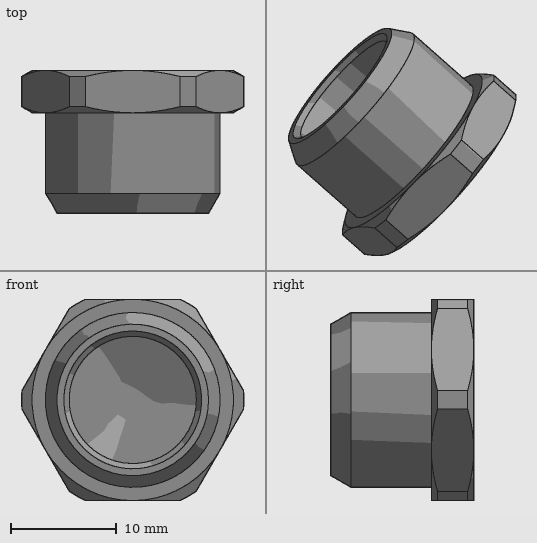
import cadquery as cq
import math

ACROSS_FLATS = 19.0
HEAD_DIAMETER = 21.0
HEAD_THICKNESS = 4.0
HEAD_BEVEL_ANGLE = 30.0

SHANK_DIAMETER = 16.5
SHANK_LENGTH = 9.5
TIP_CHAMFER_RADIAL = 1.1
TIP_CHAMFER_ANGLE = 30.0

BORE_DIAMETER = 12.0
BORE_DEPTH = 9.5
MOUTH_CHAMFER = 0.5
BORE_END_ANGLE = 150.0

HEX_SIDES = 6


def revolve_about_y(profile_points):
    """Turn a closed (radius, y) profile about the Y axis."""
    return cq.Workplane("XY").polyline(profile_points).close().revolve(360, (0, 0, 0), (0, 1, 0))


def make_head():
    """Hexagon with flats facing +Z and -Z, its corners rounded and bevelled by turning."""
    across_corners = ACROSS_FLATS / math.cos(math.pi / HEX_SIDES)
    hexagon = cq.Workplane("XZ").polygon(HEX_SIDES, across_corners).extrude(-HEAD_THICKNESS)

    face_radius = ACROSS_FLATS / 2
    rim_radius = HEAD_DIAMETER / 2
    bevel_height = (rim_radius - face_radius) * math.tan(math.radians(HEAD_BEVEL_ANGLE))
    turned_blank = revolve_about_y([
        (0, 0),
        (face_radius, 0),
        (rim_radius, bevel_height),
        (rim_radius, HEAD_THICKNESS - bevel_height),
        (face_radius, HEAD_THICKNESS),
        (0, HEAD_THICKNESS),
    ])
    return hexagon.intersect(turned_blank)


def make_shank():
    """Cylinder with a long conical lead-in at the tip."""
    shank_radius = SHANK_DIAMETER / 2
    chamfer_length = TIP_CHAMFER_RADIAL / math.tan(math.radians(TIP_CHAMFER_ANGLE))
    return revolve_about_y([
        (0, 0),
        (shank_radius, 0),
        (shank_radius, chamfer_length - SHANK_LENGTH),
        (shank_radius - TIP_CHAMFER_RADIAL, -SHANK_LENGTH),
        (0, -SHANK_LENGTH),
    ])


def make_bore():
    """Blind hole from the shank tip, with a chamfered mouth and a conical end."""
    bore_radius = BORE_DIAMETER / 2
    cone_height = bore_radius / math.tan(math.radians(BORE_END_ANGLE / 2))
    tip_y = -SHANK_LENGTH
    bore_end_y = tip_y + BORE_DEPTH
    return revolve_about_y([
        (0, tip_y),
        (bore_radius + MOUTH_CHAMFER, tip_y),
        (bore_radius, tip_y + MOUTH_CHAMFER),
        (bore_radius, bore_end_y),
        (0, bore_end_y + cone_height),
    ])


result = make_head().union(make_shank()).cut(make_bore())